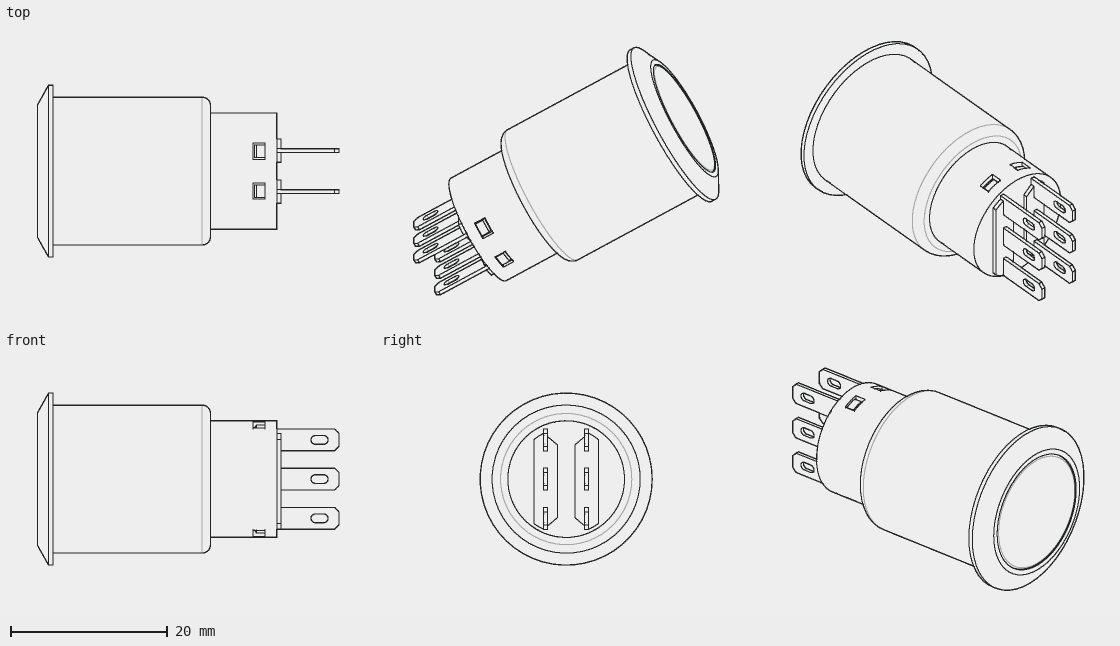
import cadquery as cq
import math

TOTAL_LENGTH = 38.5

BEZEL_DIA = 22.0
BEZEL_FACE_DIA = 16.9
BEZEL_CONE_LENGTH = 1.42
BEZEL_LENGTH = 2.0
BARREL_DIA = 18.9
BARREL_END_X = 22.1
BARREL_FILLET = 1.08
BASE_DIA = 14.9
BASE_END_X = 30.55

BUTTON_DIA = 15.5
BUTTON_RECESS_DIA = 15.55
BUTTON_LENGTH = BEZEL_LENGTH
BUTTON_EDGE_FILLET = 0.27

ROW_OFFSET = 2.6
TERMINAL_PITCH = 5.0
TERMINAL_WIDTH = 2.8
TERMINAL_THICKNESS = 0.5
TERMINAL_CHAMFER = 0.58
SLOT_LENGTH = 2.15
SLOT_WIDTH = 1.08
SLOT_CENTRE_TO_TIP = 2.5

BAR_WIDTH = 3.0
BAR_HEIGHT = 0.55
BAR_UPPER_DIA = 13.0
BAR_LOWER_DIA = 14.0
BAR_BEVEL_ANGLE = 40.0

WINDOW_START_X = 27.5
WINDOW_LENGTH = 1.55
WINDOW_OFFSET = 2.55
WINDOW_WIDTH = 2.08
WINDOW_FLOOR_DIA = 13.5
HOOK_DIA = 14.25
HOOK_WIDTH = 1.6
HOOK_SLOPE_START = 0.25
HOOK_SLOPE_LENGTH = 0.25


def make_shell():
    """Bezel, barrel and base as one turned profile."""
    profile = [
        (0, 0),
        (0, BEZEL_FACE_DIA / 2),
        (BEZEL_CONE_LENGTH, BEZEL_DIA / 2),
        (BEZEL_LENGTH, BEZEL_DIA / 2),
        (BEZEL_LENGTH, BARREL_DIA / 2),
        (BARREL_END_X - BARREL_FILLET, BARREL_DIA / 2),
    ]
    arc_rise = BARREL_FILLET * math.sin(math.radians(45))
    arc_middle = (
        BARREL_END_X - BARREL_FILLET + arc_rise,
        BARREL_DIA / 2 - BARREL_FILLET + arc_rise,
    )
    return (
        cq.Workplane("XY")
        .polyline(profile)
        .threePointArc(arc_middle, (BARREL_END_X, BARREL_DIA / 2 - BARREL_FILLET))
        .lineTo(BARREL_END_X, BASE_DIA / 2)
        .lineTo(BASE_END_X, BASE_DIA / 2)
        .lineTo(BASE_END_X, 0)
        .close()
        .revolve(360, (0, 0, 0), (1, 0, 0))
    )


def make_disc(start_x, diameter, length):
    """Cylinder on the switch axis."""
    return cq.Workplane("YZ", origin=(start_x, 0, 0)).circle(diameter / 2).extrude(length)


def make_window_cutter(y):
    """Window cut down from +Z into the base, leaving the hook on its floor."""
    window_end_x = WINDOW_START_X + WINDOW_LENGTH
    slope_start_x = WINDOW_START_X + HOOK_SLOPE_START

    opening = (
        cq.Workplane("XY")
        .center(WINDOW_START_X + WINDOW_LENGTH / 2, y)
        .rect(WINDOW_LENGTH, WINDOW_WIDTH)
        .extrude(BASE_DIA)
    )
    floor = make_disc(WINDOW_START_X, WINDOW_FLOOR_DIA, WINDOW_LENGTH)
    hook_ring = (
        cq.Workplane("XY")
        .moveTo(slope_start_x, 0)
        .lineTo(slope_start_x, WINDOW_FLOOR_DIA / 2)
        .lineTo(slope_start_x + HOOK_SLOPE_LENGTH, HOOK_DIA / 2)
        .lineTo(window_end_x, HOOK_DIA / 2)
        .lineTo(window_end_x, 0)
        .close()
        .revolve(360, (0, 0, 0), (1, 0, 0))
    )
    hook_strip = (
        cq.Workplane("XY")
        .center(WINDOW_START_X + WINDOW_LENGTH / 2, y)
        .rect(WINDOW_LENGTH, HOOK_WIDTH)
        .extrude(BASE_DIA)
    )
    return opening.cut(floor).cut(hook_ring.intersect(hook_strip))


def make_bar():
    """Raised bar of the -Y row, with arc ends that are bevelled on the side facing the axis."""
    inner_y = -ROW_OFFSET + BAR_WIDTH / 2
    outer_y = -ROW_OFFSET - BAR_WIDTH / 2
    peak_y = -ROW_OFFSET - TERMINAL_THICKNESS / 2
    bevel_drop = (inner_y - peak_y) * math.tan(math.radians(BAR_BEVEL_ANGLE))

    def half_bar(end_dia, side):
        """Half of the bar on one side of Z = 0, ended by an arc around the switch axis."""
        peak_z = math.sqrt((end_dia / 2) ** 2 - peak_y ** 2)
        outline = [
            (inner_y, 0),
            (inner_y, side * (peak_z - bevel_drop)),
            (peak_y, side * peak_z),
            (outer_y, side * peak_z),
            (outer_y, 0),
        ]
        block = cq.Workplane("YZ", origin=(BASE_END_X, 0, 0)).polyline(outline).close().extrude(BAR_HEIGHT)
        return block.intersect(make_disc(BASE_END_X, end_dia, BAR_HEIGHT))

    return half_bar(BAR_UPPER_DIA, 1).union(half_bar(BAR_LOWER_DIA, -1))


def make_terminal(y, z):
    """Flat solder tab with a chamfered tip and a wire slot."""
    length = TOTAL_LENGTH - BASE_END_X
    tab = (
        cq.Workplane("XY")
        .box(length, TERMINAL_THICKNESS, TERMINAL_WIDTH, centered=(False, True, True))
        .faces(">X")
        .edges("|Y")
        .chamfer(TERMINAL_CHAMFER)
    )
    slot = (
        cq.Workplane("XZ")
        .center(length - SLOT_CENTRE_TO_TIP, 0)
        .slot2D(SLOT_LENGTH, SLOT_WIDTH)
        .extrude(TERMINAL_THICKNESS, both=True)
    )
    return tab.cut(slot).translate((BASE_END_X, y, z))


def make_housing():
    """Shell with the button recess, snap windows, bars and terminals."""
    housing = make_shell().cut(make_disc(0, BUTTON_RECESS_DIA, BUTTON_LENGTH))

    for y in (-WINDOW_OFFSET, WINDOW_OFFSET):
        window = make_window_cutter(y)
        housing = housing.cut(window).cut(window.mirror("XY"))

    front_bar = make_bar()
    housing = housing.union(front_bar).union(front_bar.mirror("XZ"))

    for y in (-ROW_OFFSET, ROW_OFFSET):
        for z in (-TERMINAL_PITCH, 0, TERMINAL_PITCH):
            housing = housing.union(make_terminal(y, z))
    return housing


def make_button():
    """Push button, flush with the bezel face, with a rounded front edge."""
    return make_disc(0, BUTTON_DIA, BUTTON_LENGTH).faces("<X").edges().fillet(BUTTON_EDGE_FILLET)


housing = make_housing()
button = make_button()

result = cq.Compound.makeCompound([housing.val(), button.val()])